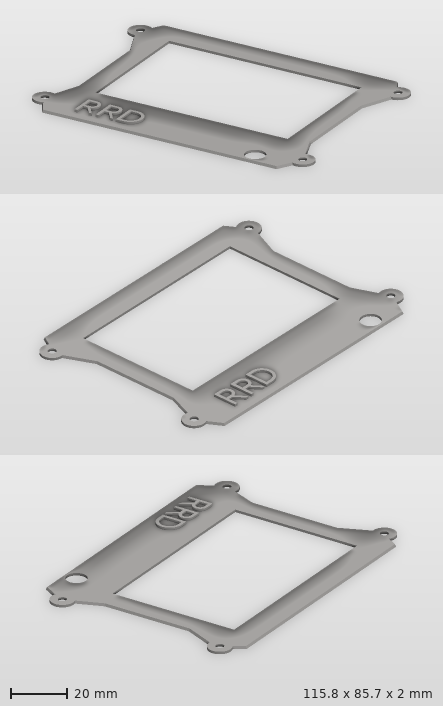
import cadquery as cq
import math

plate_thickness = 1.0
edge_setback = 0.4
overall_width = 115.77
overall_depth = 85.68

half_depth = overall_depth / 2
end_half_width = 48.5
waist_half_width = 48.1
waist_rear_y = 18.0
waist_front_y = -18.0
rear_ear_half_width = 53.3
rear_ear_y = 30.0
front_ear_half_width = 52.4
front_ear_rear_y = -28.8
front_ear_front_y = -36.0

ear_radius = 4.6
ear_hole_diameter = 3.2
ear_x = overall_width / 2 - ear_radius
ear_rear_y = 34.6
ear_front_y = -32.6

window_width = 79.5
window_rear_y = 31.8
window_front_y = -20.1

knob_hole_diameter = 8.0
knob_x = 36.6
knob_y = -37.6

letter_height = 1.0
letter_size = 10.0
letter_stroke = 1.25
letter_front_y = -38.4
first_r_x = -37.7
second_r_x = -28.9
d_x = -20.6
r_bowl_width = 6.5
r_bowl_depth = 6.0
r_leg_reach = 7.2
d_width = 8.2


def make_frame():
    left_side = [
        (-end_half_width, half_depth),
        (-rear_ear_half_width, ear_rear_y),
        (-rear_ear_half_width, rear_ear_y),
        (-waist_half_width, waist_rear_y),
        (-waist_half_width, waist_front_y),
        (-front_ear_half_width, front_ear_rear_y),
        (-front_ear_half_width, front_ear_front_y),
        (-end_half_width, -half_depth),
    ]
    right_side = [(-x, y) for x, y in reversed(left_side)]
    edge_slope = math.degrees(math.atan(edge_setback / plate_thickness))
    outline = cq.Workplane("XY").polyline(left_side + right_side).close()
    return outline.extrude(plate_thickness, taper=edge_slope)


def ear_centres():
    return [(side * ear_x, y) for side in (-1, 1) for y in (ear_rear_y, ear_front_y)]


def make_ears():
    return cq.Workplane("XY").pushPoints(ear_centres()).circle(ear_radius).extrude(plate_thickness)


def cut_openings(body):
    window_depth = window_rear_y - window_front_y
    window = (
        cq.Workplane("XY")
        .center(0, (window_rear_y + window_front_y) / 2)
        .rect(window_width, window_depth)
        .extrude(plate_thickness)
    )
    ear_holes = (
        cq.Workplane("XY").pushPoints(ear_centres()).circle(ear_hole_diameter / 2).extrude(plate_thickness)
    )
    knob_hole = (
        cq.Workplane("XY").center(knob_x, knob_y).circle(knob_hole_diameter / 2).extrude(plate_thickness)
    )
    return body.cut(window).cut(ear_holes).cut(knob_hole)


def letter_plane(x):
    return cq.Workplane("XY", origin=(x, letter_front_y, plate_thickness))


def make_bowl(x, width, bottom):
    """Closed loop of a letter: straight on the left, a half circle on the right."""
    middle = (bottom + letter_size) / 2
    bend_x = width - (letter_size - bottom) / 2

    def filled_bowl(inset):
        low = bottom + inset
        high = letter_size - inset
        return (
            letter_plane(x)
            .moveTo(inset, low)
            .lineTo(bend_x, low)
            .threePointArc((width - inset, middle), (bend_x, high))
            .lineTo(inset, high)
            .close()
            .extrude(letter_height)
        )

    return filled_bowl(0).cut(filled_bowl(letter_stroke))


def make_r(x):
    bowl_bottom = letter_size - r_bowl_depth
    stem = letter_plane(x).rect(letter_stroke, letter_size, centered=False).extrude(letter_height)
    bowl = make_bowl(x, r_bowl_width, bowl_bottom)
    leg_top = bowl_bottom + letter_stroke / 2
    leg_top_x = r_bowl_width / 2 - letter_stroke / 2
    leg = (
        letter_plane(x)
        .polyline([
            (leg_top_x, leg_top),
            (leg_top_x + letter_stroke, leg_top),
            (r_leg_reach, 0),
            (r_leg_reach - letter_stroke, 0),
        ])
        .close()
        .extrude(letter_height)
    )
    return stem.union(bowl).union(leg)


def make_d(x):
    return make_bowl(x, d_width, 0)


result = cut_openings(make_frame().union(make_ears()))
result = result.union(make_r(first_r_x)).union(make_r(second_r_x)).union(make_d(d_x))